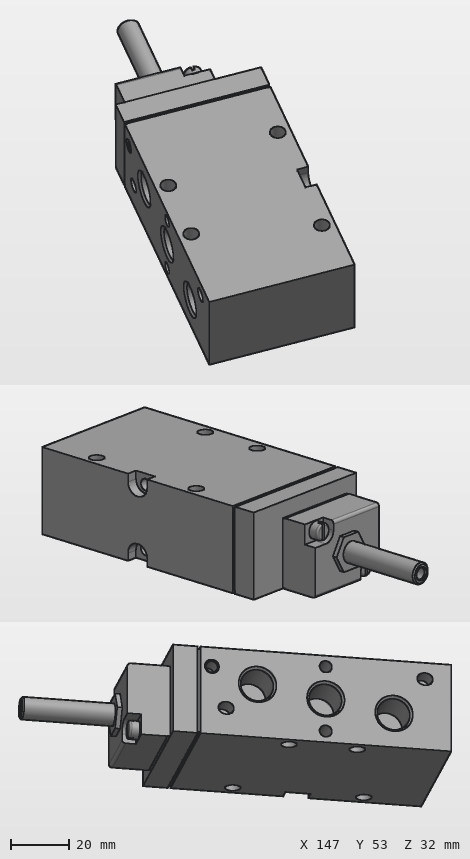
import cadquery as cq

length = 147.0
body_width = 53.0
body_height = 32.0
stem_end_x = 32.5
cap_x = 34.3
plate_x = 49.2
groove_x = 57.9
body_x = 59.0
groove_depth = 0.7

stem_y = -5.0
stem_diameter = 8.0
stem_tip_chamfer = 0.6
nut_across_corners = 14.8
cap_width = 33.0
cap_top = 26.0
stem_z = cap_top / 2
cap_edge_radius = 1.2
cap_relief_width = 0.9
cap_relief_depth = 0.1

screw_offset_y = 11.0
screw_offset_z = 9.5
screw_diameter = 6.5
screw_edge_radius = 0.7
screw_recess = 1.2
screw_slot_width = 1.0
screw_slot_depth = 1.9
screw_pocket_depth = 4.9
screw_pocket_radius = 4.0

thread_diameter = 4.1
thread_mouth_diameter = 5.0
thread_depth = 7.4
drill_tip_height = 1.2

body_middle_x = 102.9
middle_z = body_height / 2
port_pitch = 24.0
port_drop = 3.5
port_diameter = 11.5
port_mouth_diameter = 13.2
port_depth = 14.7
mount_hole_diameter = 5.5
mount_row_y = 21.9
rear_mount_spacing = 46.0
front_mount_spacing = 24.0
cross_hole_diameter = 4.3
cross_hole_offset_z = 11.9
nut_slot_width = 8.8
nut_slot_depth = 4.1
nut_slot_center_inset = 3.0
pilot_hole_x = 62.9
pilot_hole_z = 25.0
vent_width = 5.5
vent_height = 4.5
vent_depth = 7.4
vent_positions = [(67.9, 10.0), (137.7, 26.0)]

X_AXIS = cq.Vector(1, 0, 0)
Y_AXIS = cq.Vector(0, 1, 0)
Z_AXIS = cq.Vector(0, 0, 1)
front_y = -body_width / 2
back_y = body_width / 2


def box(x0, x1, y0, y1, z0, z1):
    """Axis-aligned block between two corners."""
    return cq.Workplane("XY").box(x1 - x0, y1 - y0, z1 - z0, centered=False).translate((x0, y0, z0))


def cylinder(start, direction, diameter, height):
    """Round bar from a start point along a direction."""
    return cq.Workplane(cq.Solid.makeCylinder(diameter / 2, height, cq.Vector(*start), direction))


def cone(start, direction, start_diameter, end_diameter, height):
    """Cone from a start point along a direction."""
    solid = cq.Solid.makeCone(start_diameter / 2, end_diameter / 2, height, cq.Vector(*start), direction)
    return cq.Workplane(solid)


def chamfered_hole(start, direction, diameter, mouth_diameter, depth):
    """Flat-bottomed hole with a 45 degree mouth chamfer."""
    mouth = cone(start, direction, mouth_diameter, diameter, (mouth_diameter - diameter) / 2)
    return cylinder(start, direction, diameter, depth).union(mouth)


def threaded_hole(start, direction):
    """Chamfered hole that ends in a drill tip."""
    tip_start = (cq.Vector(*start) + direction * thread_depth).toTuple()
    tip = cone(tip_start, direction, thread_diameter, 0, drill_tip_height)
    return chamfered_hole(start, direction, thread_diameter, thread_mouth_diameter, thread_depth).union(tip)


def valve_body():
    """Body block and end plate, parted by a shallow groove."""
    block = box(plate_x, length, front_y, back_y, 0, body_height)
    ring = box(groove_x, body_x, front_y, back_y, 0, body_height)
    core = box(groove_x, body_x, front_y + groove_depth, back_y - groove_depth,
               groove_depth, body_height - groove_depth)
    return block.cut(ring.cut(core))


def cut_ports(body):
    """Three ports step down along the front face."""
    for step in (-1, 0, 1):
        start = (body_middle_x + step * port_pitch, front_y, middle_z - step * port_drop)
        body = body.cut(chamfered_hole(start, Y_AXIS, port_diameter, port_mouth_diameter, port_depth))
    return body


def cut_mount_holes(body):
    """Vertical through holes, one pair along each long side."""
    for row_y, spacing in ((mount_row_y, rear_mount_spacing), (-mount_row_y, front_mount_spacing)):
        for side in (-1, 1):
            start = (body_middle_x + side * spacing / 2, row_y, 0)
            body = body.cut(cylinder(start, Z_AXIS, mount_hole_diameter, body_height))
    return body


def cut_cross_holes(body):
    """Front-to-back through holes, each with a round-ended nut slot open to the nearest face."""
    slot_y = back_y - nut_slot_depth
    half_slot = nut_slot_width / 2
    for side, edge_z in ((1, body_height), (-1, 0)):
        hole_z = middle_z + side * cross_hole_offset_z
        slot_z = edge_z - side * nut_slot_center_inset
        body = body.cut(cylinder((body_middle_x, front_y, hole_z), Y_AXIS, cross_hole_diameter, body_width))
        body = body.cut(cylinder((body_middle_x, slot_y, slot_z), Y_AXIS, nut_slot_width, nut_slot_depth))
        body = body.cut(box(body_middle_x - half_slot, body_middle_x + half_slot,
                            slot_y, back_y, min(slot_z, edge_z), max(slot_z, edge_z)))
    return body


def cut_pilot_and_vents(body):
    """Threaded pilot hole and two oval vents in the front face."""
    body = body.cut(threaded_hole((pilot_hole_x, front_y, pilot_hole_z), Y_AXIS))
    for x, z in vent_positions:
        vent = cq.Workplane("XZ", origin=(x, front_y, z)).ellipse(vent_width / 2, vent_height / 2)
        body = body.cut(vent.extrude(-vent_depth))
    return body


def pilot_cap():
    """Cap block with rounded front edges and a shallow relief where it meets the plate."""
    low_y = stem_y - cap_width / 2
    high_y = stem_y + cap_width / 2
    relief_x = plate_x - cap_relief_width
    block = box(cap_x, relief_x, low_y, high_y, 0, cap_top)
    block = block.edges("|Y and <X").fillet(cap_edge_radius)
    neck = box(relief_x, plate_x, low_y, high_y, cap_relief_depth, cap_top - cap_relief_depth)
    return block.union(neck)


def screw_pocket(side):
    """Corner pocket around a cap screw, rounded on its inner corner; side is +1 (upper) or -1 (lower)."""
    pocket_side = cap_top / 2
    shift = pocket_side / 2 - screw_pocket_radius
    corner = cq.Workplane("YZ").rect(pocket_side, pocket_side).extrude(screw_pocket_depth)
    corner = corner.translate((0, shift * side, shift * side))
    inner_edge = "<" if side > 0 else ">"
    corner = corner.edges("|X").edges(inner_edge + "(0, 1, 1)").fillet(screw_pocket_radius)
    return corner.translate((cap_x, stem_y + side * screw_offset_y, stem_z + side * screw_offset_z))


def cap_screw(side):
    """Slotted round screw head standing on the pocket floor."""
    y = stem_y + side * screw_offset_y
    z = stem_z + side * screw_offset_z
    head_x = cap_x + screw_recess
    head = cylinder((head_x, y, z), X_AXIS, screw_diameter, screw_pocket_depth - screw_recess)
    head = head.faces("<X").edges().fillet(screw_edge_radius)
    slot = box(head_x, head_x + screw_slot_depth, y - screw_slot_width / 2, y + screw_slot_width / 2,
               z - screw_diameter, z + screw_diameter)
    return head.cut(slot)


def stem():
    """Round stem with a chamfered tip and a hexagonal nut against the cap."""
    bar = cylinder((0, stem_y, stem_z), X_AXIS, stem_diameter, cap_x)
    bar = bar.faces("<X").chamfer(stem_tip_chamfer)
    nut = cq.Workplane("YZ", origin=(stem_end_x, stem_y, stem_z)).polygon(6, nut_across_corners)
    return bar.union(nut.extrude(cap_x - stem_end_x)).cut(threaded_hole((0, stem_y, stem_z), X_AXIS))


body = cut_pilot_and_vents(cut_cross_holes(cut_mount_holes(cut_ports(valve_body()))))
cap = pilot_cap()
for corner_side in (1, -1):
    cap = cap.cut(screw_pocket(corner_side)).union(cap_screw(corner_side))

result = body.union(cap).union(stem())